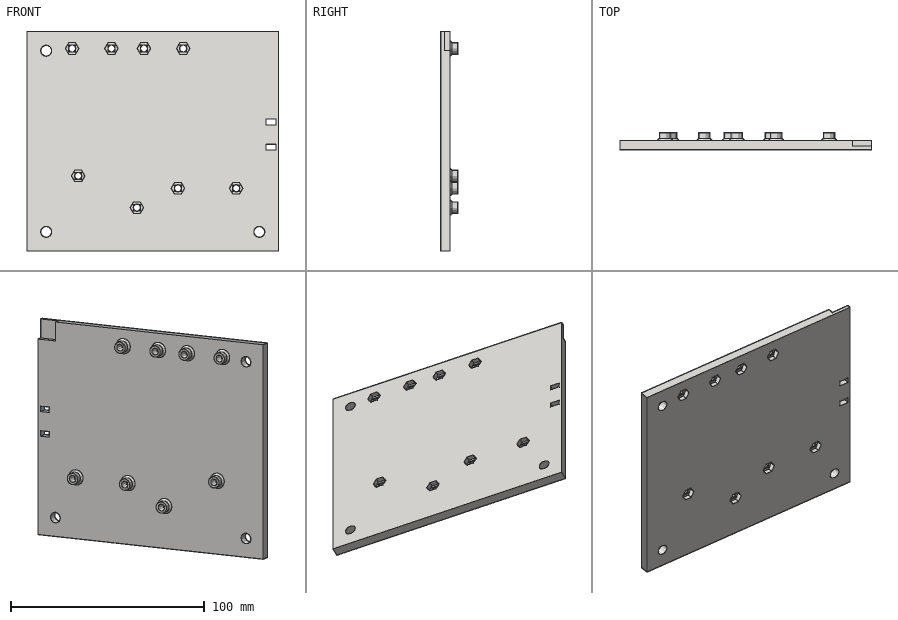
import cadquery as cq
import math

plate_width = 130.0
plate_height = 113.5
plate_thickness = 5.0
overall_depth = 9.0

mount_hole_diameter = 5.5
mount_hole_margin = 10.0

boss_diameter = 6.0
boss_height = overall_depth - plate_thickness
boss_foot = 1.0
screw_hole_diameter = 3.5
nut_across_flats = 6.0
nut_corner_radius = nut_across_flats / math.sqrt(3)
nut_sides = 6
nut_pocket_depth = 2.5
bridge_step = 0.3

upper_row_z = plate_height - 8.8
pair_spacing = 20.3
pair_starts_x = [23.4, 60.5]

lower_bosses = [(26.5, 38.9), (56.8, 22.5), (78.0, 32.5), (108.0, 32.5)]

slot_width = 5.1
slot_height = 2.9
slot_edge_distance = 1.4
slot_spacing = 13.0
slot_count = 2
lower_slot_z = 53.7

recess_width = 10.0
recess_depth = 3.0
recess_height = recess_width


def front_plane():
    """Sketch plane on the front face: local x is X, local y is Z, normal is -Y."""
    return cq.Workplane("XZ")


def make_plate():
    return front_plane().rect(plate_width, plate_height, centered=False).extrude(-plate_thickness)


def add_bosses(plate, centers):
    """Round bosses on the back face, each widening into the plate with a conical foot."""
    back_plane = front_plane().workplane(offset=-plate_thickness)
    bosses = back_plane.pushPoints(centers).circle(boss_diameter / 2).extrude(-boss_height)
    boss_roots = cq.selectors.BoxSelector(
        (0, plate_thickness - boss_foot, 0),
        (plate_width, plate_thickness + boss_foot, plate_height),
    )
    return plate.union(bosses).edges("%CIRCLE").edges(boss_roots).chamfer(boss_foot)


def make_nut_cut():
    """Nut pocket narrowing to the screw hole in two shallow steps: a full-width band, then a square."""
    band_end = nut_pocket_depth + bridge_step
    square_end = band_end + bridge_step
    hexagon = cq.Sketch().regularPolygon(nut_corner_radius, nut_sides, angle=90)

    pocket = front_plane().placeSketch(hexagon).extrude(-nut_pocket_depth)
    band = (
        front_plane()
        .placeSketch(hexagon)
        .extrude(-band_end)
        .intersect(front_plane().rect(2 * nut_corner_radius, screw_hole_diameter).extrude(-band_end))
    )
    square = front_plane().rect(screw_hole_diameter, screw_hole_diameter).extrude(-square_end)
    hole = front_plane().circle(screw_hole_diameter / 2).extrude(-overall_depth)
    return pocket.union(band).union(square).union(hole)


def make_boss_cuts(centers):
    """Identical nut and screw cut at every boss."""
    nut_cut = make_nut_cut().val()
    cuts = cq.Workplane()
    for x, z in centers:
        cuts = cuts.add(nut_cut.translate(cq.Vector(x, 0, z)))
    return cuts.combine()


def make_mount_holes():
    left_x = mount_hole_margin
    right_x = plate_width - mount_hole_margin
    lower_z = mount_hole_margin
    upper_z = plate_height - mount_hole_margin
    centers = [(left_x, lower_z), (right_x, lower_z), (left_x, upper_z)]
    return front_plane().pushPoints(centers).circle(mount_hole_diameter / 2).extrude(-plate_thickness)


def make_slots():
    center_x = plate_width - slot_edge_distance - slot_width / 2
    centers = [(center_x, lower_slot_z + i * slot_spacing) for i in range(slot_count)]
    return front_plane().pushPoints(centers).rect(slot_width, slot_height).extrude(-plate_thickness)


def make_recess():
    corner = (plate_width - recess_width, plate_thickness - recess_depth, plate_height - recess_height)
    return cq.Workplane().box(recess_width, recess_depth, recess_height, centered=False).translate(corner)


upper_bosses = [
    (start_x + offset, upper_row_z)
    for start_x in pair_starts_x
    for offset in (0, pair_spacing)
]
boss_centers = upper_bosses + lower_bosses

result = (
    add_bosses(make_plate(), boss_centers)
    .cut(make_boss_cuts(boss_centers))
    .cut(make_mount_holes())
    .cut(make_recess())
    .cut(make_slots())
)